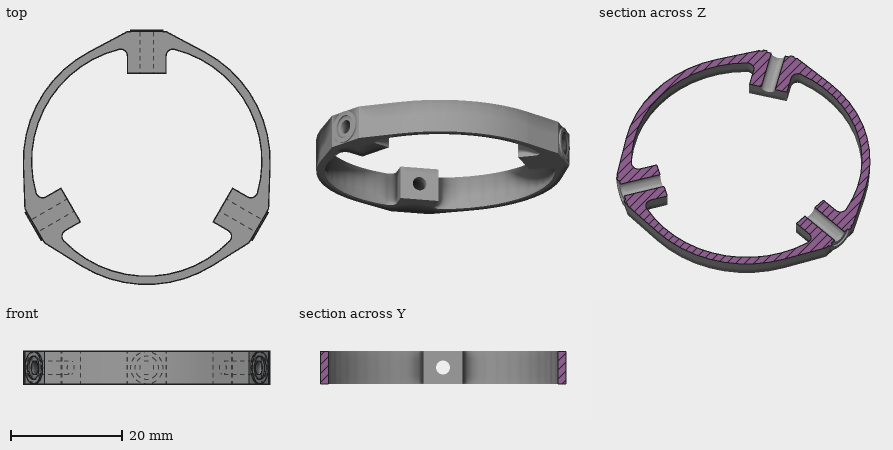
import cadquery as cq
import math

height = 6.0
outer_radius = 22.19
wall = 1.52
inner_radius = outer_radius - wall

lug_angles = [90, 210, 330]
lug_width = 7.0
lug_inner_distance = 15.78
lug_fillet = 1.2

flat_distance = 23.25
flat_width = 7.1
corner_radius = math.hypot(flat_distance, flat_width / 2)
corner_angle = math.degrees(math.atan2(flat_width / 2, flat_distance))
tangent_angle = corner_angle + math.degrees(math.acos(outer_radius / corner_radius))

rim_outer_diameter = 5.8
rim_inner_diameter = 4.2
rim_height = 0.29
hole_diameter = 2.5


def polar(radius, angle):
    """Point at a radius and an angle in degrees around the ring axis."""
    return (radius * math.cos(math.radians(angle)), radius * math.sin(math.radians(angle)))


def outer_body():
    """Solid disc whose rim has three flats blended in by tangent lines."""
    outline = cq.Workplane("XY").moveTo(*polar(outer_radius, lug_angles[0] - tangent_angle))
    pitch = 360 / len(lug_angles)
    for angle in lug_angles:
        next_tangent = angle + pitch - tangent_angle
        outline = (
            outline.lineTo(*polar(corner_radius, angle - corner_angle))
            .lineTo(*polar(corner_radius, angle + corner_angle))
            .lineTo(*polar(outer_radius, angle + tangent_angle))
            .threePointArc(polar(outer_radius, angle + pitch / 2), polar(outer_radius, next_tangent))
        )
    return outline.close().extrude(height)


def opening():
    """Round bore less the lugs, with rounded corners at the roots of the lugs."""
    lug_length = outer_radius - lug_inner_distance
    bore = cq.Workplane("XY").circle(inner_radius).extrude(height)
    for angle in lug_angles:
        lug = (
            cq.Workplane("XY")
            .box(lug_length, lug_width, height, centered=(False, True, False))
            .translate((lug_inner_distance, 0, 0))
            .rotate((0, 0, 0), (0, 0, 1), angle)
        )
        bore = bore.cut(lug)
    root_distance = math.sqrt(inner_radius**2 - (lug_width / 2) ** 2)
    root_angle = math.degrees(math.atan2(lug_width / 2, root_distance))
    for angle in lug_angles:
        for side in (-1, 1):
            x, y = polar(inner_radius, angle + side * root_angle)
            nearest = cq.selectors.NearestToPointSelector((x, y, height / 2))
            bore = bore.edges("|Z").edges(nearest).fillet(lug_fillet)
    return bore


def radial_plane(distance, angle):
    """Workplane at mid-height facing outward at a distance from the ring axis."""
    x, y = polar(distance, angle)
    outward = (*polar(1, angle), 0)
    return cq.Workplane(cq.Plane(origin=(x, y, height / 2), xDir=(0, 0, 1), normal=outward))


def raised_rim(angle):
    """Thin annular rim standing on a flat."""
    return (
        radial_plane(flat_distance, angle)
        .circle(rim_outer_diameter / 2)
        .circle(rim_inner_diameter / 2)
        .extrude(rim_height)
    )


def radial_hole(angle):
    """Cylinder running through a lug from its inner face to its flat."""
    length = flat_distance - lug_inner_distance
    return radial_plane(lug_inner_distance, angle).circle(hole_diameter / 2).extrude(length)


result = outer_body().cut(opening())
for lug_angle in lug_angles:
    result = result.union(raised_rim(lug_angle)).cut(radial_hole(lug_angle))